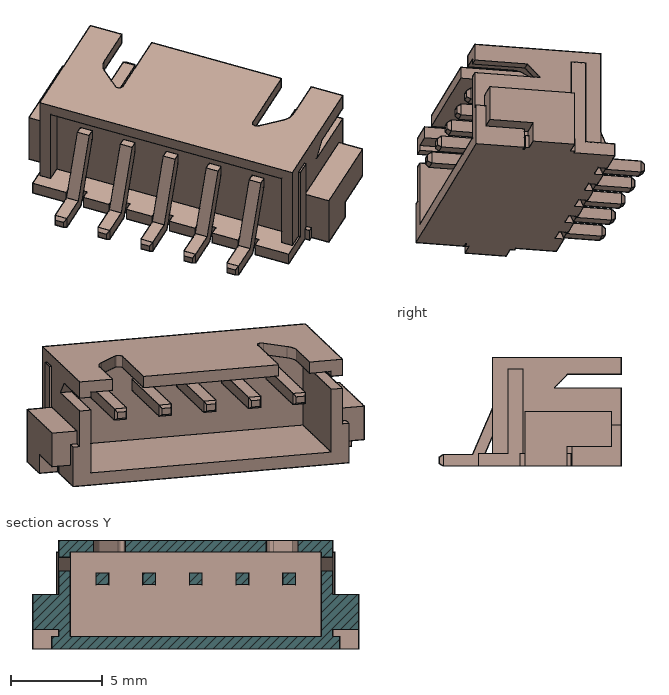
import cadquery as cq


BODY_WIDTH = 14.94
BODY_DEPTH = 7.02
BODY_HEIGHT = 5.92
WALL = 0.64
BASE_HEIGHT = 0.70
WEB_FRONT = 5.35
WEB_BACK = 6.16

BASE_WIDTH = 15.15
BASE_DEPTH = 7.77
RIB_HEIGHT = 5.28
NOTCH_WIDTH = 1.02
NOTCH_FLOOR = 7.27

WING_WIDTH = 15.68
FRONT_WING_DEPTH = 2.68
FRONT_WING_HEIGHT = 2.25
REAR_WING_START = 2.75
REAR_WING_END = 5.50
TAB_SPAN = 17.75
TAB_START = 0.54
TAB_END = 5.25
TAB_HEIGHT = 2.98
TAB_LEG_START = 2.95
TAB_UNDERCUT = 1.07

SIDE_SLOT_BOTTOM = 4.27
SIDE_SLOT_TOP = 5.00
SIDE_SLOT_SHORT = 2.92
SIDE_SLOT_LONG = 3.64

TOP_SLOT_OUTER = 5.60
TOP_SLOT_INNER = 3.84
TOP_SLOT_SHORT = 2.87
TOP_SLOT_LONG = 4.50
TOP_SLOT_BEND_RADIUS = 1.0
TOP_SLOT_TIP_RADIUS = 0.23

PIN_COUNT = 5
PIN_PITCH = 2.54
PIN_WIDTH = 0.70
PIN_THICKNESS = 0.64
PIN_TOP = 4.15
PIN_END = 9.91
UPPER_BEND = 6.59
LOWER_BEND = 8.10
LIMB_RUN = 0.67
TIP_LENGTH = 0.22
TIP_SIDE_INSET = 0.10
TIP_HEIGHT_INSET = 0.14

PIN_POSITIONS = [(i - (PIN_COUNT - 1) / 2) * PIN_PITCH for i in range(PIN_COUNT)]


def block(width, depth_start, depth_end, bottom, top):
    """Box centred on X between two depths and two heights."""
    size_y = depth_end - depth_start
    box = cq.Workplane("XY").box(width, size_y, top - bottom, centered=(True, False, False))
    return box.translate((0, -depth_end, bottom))


def side_profile(points, width):
    """Extrude an outline of (depth, height) points symmetrically about X = 0."""
    outline = [(-depth, height) for depth, height in points]
    return cq.Workplane("YZ").polyline(outline).close().extrude(width / 2, both=True)


def make_shell():
    inner_width = BODY_WIDTH - 2 * WALL
    inner_top = BODY_HEIGHT - WALL
    shell = block(BODY_WIDTH, 0, BODY_DEPTH, 0, BODY_HEIGHT)
    cavity = block(inner_width, 0, WEB_FRONT, BASE_HEIGHT, inner_top)
    recess = block(inner_width, WEB_BACK, BODY_DEPTH, BASE_HEIGHT, inner_top)
    return shell.cut(cavity).cut(recess)


def make_side_slot():
    points = [
        (0, SIDE_SLOT_BOTTOM),
        (SIDE_SLOT_LONG, SIDE_SLOT_BOTTOM),
        (SIDE_SLOT_SHORT, SIDE_SLOT_TOP),
        (0, SIDE_SLOT_TOP),
    ]
    return side_profile(points, BODY_WIDTH)


def make_top_slot():
    outline = [
        (-TOP_SLOT_OUTER, 0),
        (-TOP_SLOT_OUTER, -TOP_SLOT_SHORT),
        (-TOP_SLOT_INNER, -TOP_SLOT_LONG),
        (-TOP_SLOT_INNER, 0),
    ]
    floor = BODY_HEIGHT - WALL
    slot = cq.Workplane("XY").workplane(offset=floor).polyline(outline).close().extrude(WALL)
    bend = cq.selectors.NearestToPointSelector((-TOP_SLOT_OUTER, -TOP_SLOT_SHORT, floor + WALL / 2))
    tip = cq.selectors.NearestToPointSelector((-TOP_SLOT_INNER, -TOP_SLOT_LONG, floor + WALL / 2))
    slot = slot.edges("|Z").edges(bend).fillet(TOP_SLOT_BEND_RADIUS)
    return slot.edges("|Z").edges(tip).fillet(TOP_SLOT_TIP_RADIUS)


def make_base():
    base = block(BASE_WIDTH, WEB_FRONT, BASE_DEPTH, 0, BASE_HEIGHT)
    notch = block(NOTCH_WIDTH, NOTCH_FLOOR, BASE_DEPTH, 0, BASE_HEIGHT)
    for x in PIN_POSITIONS:
        base = base.cut(notch.translate((x, 0, 0)))
    return base


def make_side_features():
    """Ribs, wings and solder tabs on both sides, cleared from the space between the side walls."""
    ribs = block(BASE_WIDTH, WEB_FRONT, WEB_BACK, 0, RIB_HEIGHT)
    front_wings = block(WING_WIDTH, 0, FRONT_WING_DEPTH, 0, FRONT_WING_HEIGHT)
    rear_wings = block(WING_WIDTH, REAR_WING_START, REAR_WING_END, 0, BASE_HEIGHT)
    tab_outline = [
        (TAB_START, TAB_UNDERCUT),
        (TAB_LEG_START, TAB_UNDERCUT),
        (TAB_LEG_START, 0),
        (TAB_END, 0),
        (TAB_END, TAB_HEIGHT),
        (TAB_START, TAB_HEIGHT),
    ]
    tabs = side_profile(tab_outline, TAB_SPAN)
    between_walls = block(BODY_WIDTH - 2 * WALL, 0, BODY_DEPTH, 0, BODY_HEIGHT)
    return ribs.union(front_wings).union(rear_wings).union(tabs).cut(between_walls)


def pin_tip(depth, middle_height, direction):
    """Tapered pin end growing from a depth toward +Y (direction 1) or -Y (direction -1)."""
    plane = cq.Plane(origin=(0, -depth, middle_height), xDir=(1, 0, 0), normal=(0, direction, 0))
    root = cq.Workplane(plane).rect(PIN_WIDTH, PIN_THICKNESS)
    end_width = PIN_WIDTH - 2 * TIP_SIDE_INSET
    end_height = PIN_THICKNESS - 2 * TIP_HEIGHT_INSET
    end = root.workplane(offset=TIP_LENGTH).rect(end_width, end_height)
    return end.loft(ruled=True)


def make_pin():
    pin_bottom = PIN_TOP - PIN_THICKNESS
    run_per_rise = (LOWER_BEND - UPPER_BEND) / (PIN_TOP - PIN_THICKNESS)
    underside_shift = PIN_THICKNESS * run_per_rise - LIMB_RUN
    points = [
        (TIP_LENGTH, PIN_TOP),
        (UPPER_BEND, PIN_TOP),
        (LOWER_BEND, PIN_THICKNESS),
        (PIN_END - TIP_LENGTH, PIN_THICKNESS),
        (PIN_END - TIP_LENGTH, 0),
        (LOWER_BEND + underside_shift, 0),
        (UPPER_BEND + underside_shift, pin_bottom),
        (TIP_LENGTH, pin_bottom),
    ]
    pin = side_profile(points, PIN_WIDTH)
    mating_tip = pin_tip(TIP_LENGTH, PIN_TOP - PIN_THICKNESS / 2, 1)
    solder_tip = pin_tip(PIN_END - TIP_LENGTH, PIN_THICKNESS / 2, -1)
    return pin.union(mating_tip).union(solder_tip)


top_slot = make_top_slot()
housing = make_shell().cut(make_side_slot())
housing = housing.cut(top_slot).cut(top_slot.mirror("YZ"))
result = housing.union(make_base()).union(make_side_features())

pin = make_pin()
for x in PIN_POSITIONS:
    result = result.union(pin.translate((x, 0, 0)))